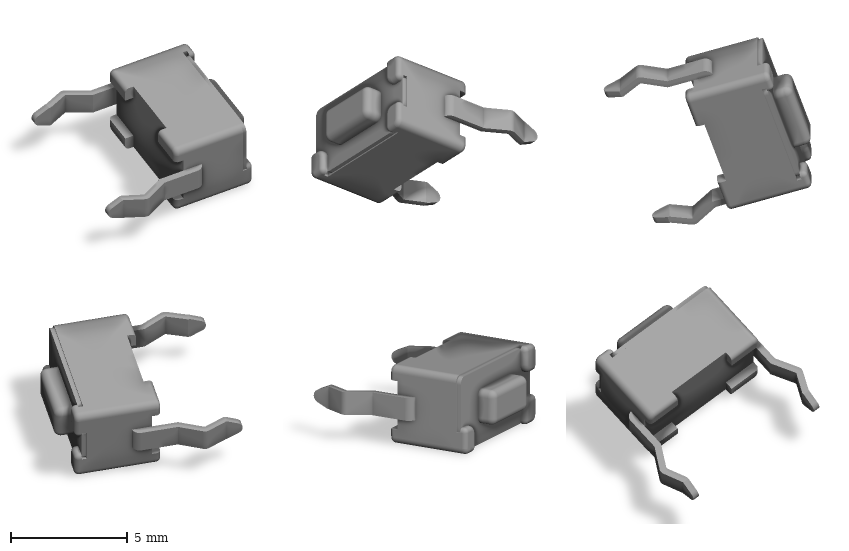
import cadquery as cq
import math


HOUSING_WIDTH = 6.1
HOUSING_HEIGHT = 3.5
HOUSING_DEPTH = 2.9
LONG_EDGE_RADIUS = 0.3
END_EDGE_RADIUS = 0.2
HALF_WIDTH = HOUSING_WIDTH / 2
HALF_HEIGHT = HOUSING_HEIGHT / 2

FOOT_DEPTH = 0.4
FOOT_INNER_X = 1.5
FOOT_INNER_Z = 1.1

PLATE_THICKNESS = 0.2
PLATE_INSET = 0.06
PLATE_CORNER_RADIUS = 0.3
PLATE_TAB_RADIUS = 0.12
PLATE_FRONT = HOUSING_DEPTH + PLATE_THICKNESS

STEM_INNER_X = 2.42
STEM_INNER_Z = 0.75
HEAD_INNER_X = {-1: 2.15, 1: 2.2}
HEAD_INNER_Z = 0.55
HEAD_HEIGHT = 0.3
HEAD_INNER_RADIUS = 0.38
HEAD_SIDE_RADIUS = 0.2
HEAD_FRONT = PLATE_FRONT + HEAD_HEIGHT
POST_CORNERS = [(-1, 1), (-1, -1), (1, -1)]

BUTTON_WIDTH = 3.0
BUTTON_HEIGHT = 1.55
BUTTON_FRONT = 3.9
BUTTON_RADIUS = 0.3

LEAD_WIDTH = 1.02
LEAD_THICKNESS = 0.3
LEAD_TOP_Y = 0.53
LEAD_TOP_RADIUS = 0.36
LEAD_KNEE_Y = -1.15
LEAD_APEX_X = 3.61
LEAD_APEX_Y = -2.2
LEAD_FOOT_X = 3.2
LEAD_FOOT_Y = -3.11
LEAD_TIP_Y = -3.9
TIP_TAPER_Y = -3.2
TIP_RADIUS = 0.3


def block(x_range, y_range, z_range):
    """Axis-aligned box between the given limits."""
    limits = (x_range, y_range, z_range)
    sizes = [high - low for low, high in limits]
    corner = tuple(low for low, high in limits)
    return cq.Workplane("XY").box(*sizes, centered=False).translate(corner)


def corner_block(x_sign, z_sign, inner_x, inner_z, y_range):
    """Box filling one housing corner outward from inner_x, inner_z."""
    x_range = sorted((x_sign * inner_x, x_sign * HALF_WIDTH))
    z_range = sorted((z_sign * inner_z, z_sign * HALF_HEIGHT))
    return block(x_range, y_range, z_range)


def outward_selector(axis, sign):
    """Selector for the features farthest out along an axis on the given side."""
    return (">" if sign > 0 else "<") + axis


def make_housing():
    envelope = block(
        (-HALF_WIDTH, HALF_WIDTH),
        (-FOOT_DEPTH, PLATE_FRONT),
        (-HALF_HEIGHT, HALF_HEIGHT),
    )
    envelope = envelope.edges("|Y").fillet(LONG_EDGE_RADIUS)
    envelope = envelope.faces("<Y").edges().fillet(END_EDGE_RADIUS)

    core = block(
        (-HALF_WIDTH, HALF_WIDTH),
        (0, HOUSING_DEPTH),
        (-HALF_HEIGHT, HALF_HEIGHT),
    )
    for x_sign in (-1, 1):
        for z_sign in (-1, 1):
            foot = corner_block(x_sign, z_sign, FOOT_INNER_X, FOOT_INNER_Z, (-FOOT_DEPTH, 0))
            core = core.union(foot)
    for x_sign, z_sign in POST_CORNERS:
        stem_span = (HOUSING_DEPTH, PLATE_FRONT)
        core = core.union(corner_block(x_sign, z_sign, STEM_INNER_X, STEM_INNER_Z, stem_span))
    return envelope.intersect(core)


def make_plate():
    """Plate with a corner cut away around each post stem, leaving a gap along X."""
    edge_x = HALF_WIDTH - PLATE_INSET
    edge_z = HALF_HEIGHT - PLATE_INSET
    span = (HOUSING_DEPTH, PLATE_FRONT)
    plate = block((-edge_x, edge_x), span, (-edge_z, edge_z))
    cut_x = STEM_INNER_X - PLATE_INSET
    for x_sign, z_sign in POST_CORNERS:
        plate = plate.cut(corner_block(x_sign, z_sign, cut_x, STEM_INNER_Z, span))
    plate = plate.edges("|Y and (>Z or <Z)").fillet(PLATE_CORNER_RADIUS)
    return plate.edges("|Y and <X").fillet(PLATE_TAB_RADIUS)


def make_head(x_sign, z_sign):
    span = (PLATE_FRONT, HEAD_FRONT)
    head = corner_block(x_sign, z_sign, HEAD_INNER_X[x_sign], HEAD_INNER_Z, span)
    x_outer = outward_selector("X", x_sign)
    x_inner = outward_selector("X", -x_sign)
    z_outer = outward_selector("Z", z_sign)
    z_inner = outward_selector("Z", -z_sign)
    corner_radii = [
        (x_outer, z_outer, LONG_EDGE_RADIUS),
        (x_inner, z_inner, HEAD_INNER_RADIUS),
        (x_outer, z_inner, HEAD_SIDE_RADIUS),
        (x_inner, z_outer, HEAD_SIDE_RADIUS),
    ]
    for x_side, z_side, radius in corner_radii:
        head = head.edges(f"|Y and {x_side} and {z_side}").fillet(radius)
    return head.faces(">Y").edges().fillet(END_EDGE_RADIUS)


def make_button():
    button = block(
        (-BUTTON_WIDTH / 2, BUTTON_WIDTH / 2),
        (HOUSING_DEPTH, BUTTON_FRONT),
        (-BUTTON_HEIGHT / 2, BUTTON_HEIGHT / 2),
    )
    return button.edges("|Y").fillet(BUTTON_RADIUS).faces(">Y").edges().fillet(BUTTON_RADIUS)


def make_lead_strip():
    """Bent strip of the +X lead, before its tip is shaped."""
    outer_x = HALF_WIDTH + LEAD_THICKNESS
    top_center_x = outer_x - LEAD_TOP_RADIUS
    top_angle = math.acos((HALF_WIDTH - top_center_x) / LEAD_TOP_RADIUS)

    def top_point(angle):
        return (
            top_center_x + LEAD_TOP_RADIUS * math.cos(angle),
            LEAD_TOP_Y + LEAD_TOP_RADIUS * math.sin(angle),
        )

    def apex_point(angle):
        return (
            LEAD_APEX_X + LEAD_THICKNESS * math.cos(angle),
            LEAD_APEX_Y + LEAD_THICKNESS * math.sin(angle),
        )

    out_angle = math.atan2(LEAD_APEX_X - HALF_WIDTH, LEAD_KNEE_Y - LEAD_APEX_Y)
    back_angle = math.atan2(LEAD_APEX_X - LEAD_FOOT_X, LEAD_APEX_Y - LEAD_FOOT_Y)
    outer_knee_y = LEAD_KNEE_Y + LEAD_THICKNESS * math.tan(out_angle / 2)
    outer_foot_y = LEAD_FOOT_Y - LEAD_THICKNESS * math.tan(back_angle / 2)
    outer_foot_x = LEAD_FOOT_X + LEAD_THICKNESS

    return (
        cq.Workplane("XY")
        .moveTo(*top_point(top_angle))
        .threePointArc(top_point(top_angle / 2), top_point(0))
        .lineTo(outer_x, outer_knee_y)
        .lineTo(*apex_point(out_angle))
        .threePointArc(apex_point(0), apex_point(-back_angle))
        .lineTo(outer_foot_x, outer_foot_y)
        .lineTo(outer_foot_x, LEAD_TIP_Y)
        .lineTo(LEAD_FOOT_X, LEAD_TIP_Y)
        .lineTo(LEAD_FOOT_X, LEAD_FOOT_Y)
        .lineTo(LEAD_APEX_X, LEAD_APEX_Y)
        .lineTo(HALF_WIDTH, LEAD_KNEE_Y)
        .close()
        .extrude(LEAD_WIDTH / 2, both=True)
    )


def make_lead_silhouette():
    """Width outline of the lead: straight, then tapering tangentially to a round tip."""
    half_width = LEAD_WIDTH / 2
    tip_center_y = LEAD_TIP_Y + TIP_RADIUS
    taper_length = TIP_TAPER_Y - tip_center_y
    shoulder_distance = math.hypot(taper_length, half_width)
    shoulder_angle = math.atan2(half_width, taper_length)
    tangent_angle = shoulder_angle + math.acos(TIP_RADIUS / shoulder_distance)
    tangent_y = tip_center_y + TIP_RADIUS * math.cos(tangent_angle)
    tangent_z = TIP_RADIUS * math.sin(tangent_angle)
    top_y = LEAD_TOP_Y + LEAD_TOP_RADIUS

    return (
        cq.Workplane("YZ")
        .moveTo(top_y, half_width)
        .lineTo(TIP_TAPER_Y, half_width)
        .lineTo(tangent_y, tangent_z)
        .threePointArc((LEAD_TIP_Y, 0), (tangent_y, -tangent_z))
        .lineTo(TIP_TAPER_Y, -half_width)
        .lineTo(top_y, -half_width)
        .close()
        .extrude(LEAD_APEX_X + LEAD_THICKNESS)
    )


result = make_housing().union(make_plate()).union(make_button())
for post_x_sign, post_z_sign in POST_CORNERS:
    result = result.union(make_head(post_x_sign, post_z_sign))
lead = make_lead_strip().intersect(make_lead_silhouette())
result = result.union(lead).union(lead.mirror("YZ"))